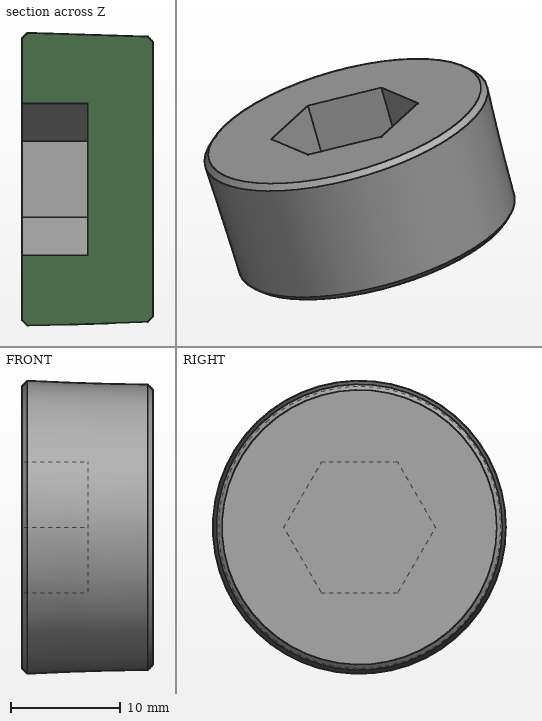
import cadquery as cq
import math

length = 12.0
large_diameter = 26.8
taper = 1 / 16
edge_chamfer = 0.5
socket_across_flats = 12.0
socket_depth = 6.0


def plug_body():
    """Revolve the tapered outline, chamfered at both ends, about the X axis."""
    taper_start = edge_chamfer
    taper_end = length - edge_chamfer
    large_radius = large_diameter / 2
    small_radius = large_radius - (taper_end - taper_start) * taper / 2
    return (
        cq.Workplane("XY")
        .moveTo(0, 0)
        .lineTo(0, large_radius - edge_chamfer)
        .lineTo(taper_start, large_radius)
        .lineTo(taper_end, small_radius)
        .lineTo(length, small_radius - edge_chamfer)
        .lineTo(length, 0)
        .close()
        .revolve(360, (0, 0, 0), (1, 0, 0))
    )


def hexagon_socket():
    """Hexagonal prism with corners on the Y axis and flats facing up and down."""
    across_corners = socket_across_flats / math.cos(math.pi / 6)
    return cq.Workplane("YZ").polygon(6, across_corners).extrude(socket_depth)


result = plug_body().cut(hexagon_socket())